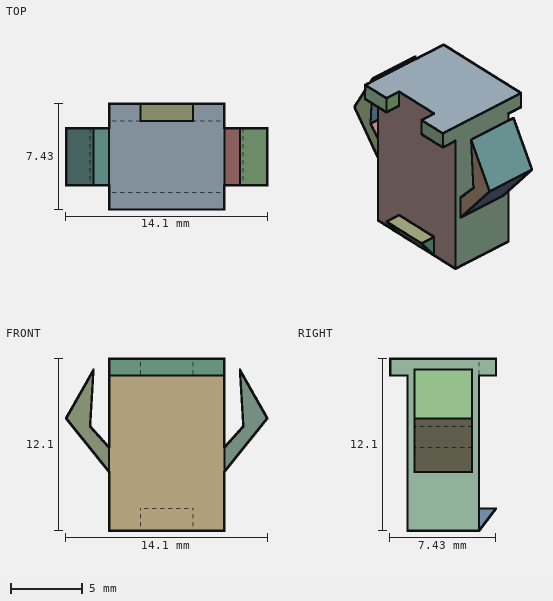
import cadquery as cq

overall_width = 14.13
body_width = 8.1
body_depth = 5.03
body_height = 12.1

ledge_projection = 1.2
ledge_height = 1.2
rear_gap_width = 3.66

wedge_height = 1.58

arm_depth = 4.03
arm_root_bottom = 4.14
arm_root_top = 5.86
arm_elbow_height = 7.9
arm_notch_x = 5.37
arm_notch_height = 7.33
arm_tip_x = 5.13
arm_tip_height = 11.32

half_width = body_width / 2
half_depth = body_depth / 2
ledge_bottom = body_height - ledge_height
tab_width = (body_width - rear_gap_width) / 2


def corner_box(width, depth, height, x, y, z):
    """Box whose lowest corner is at (x, y, z)."""
    return cq.Workplane("XY").box(width, depth, height, centered=False).translate((x, y, z))


def spring_arm():
    """Barbed arm on the +X side, rooted in the side wall."""
    profile = [
        (0, arm_root_bottom),
        (half_width, arm_root_bottom),
        (overall_width / 2, arm_elbow_height),
        (arm_tip_x, arm_tip_height),
        (arm_notch_x, arm_notch_height),
        (half_width, arm_root_top),
        (0, arm_root_top),
    ]
    return cq.Workplane("XZ").polyline(profile).close().extrude(arm_depth / 2, both=True)


def latch_wedge():
    """Flat-topped ramp on the rear wall, running out at the base."""
    profile = [
        (0, 0),
        (half_depth, 0),
        (half_depth + ledge_projection, wedge_height),
        (0, wedge_height),
    ]
    return cq.Workplane("YZ").polyline(profile).close().extrude(rear_gap_width / 2, both=True)


result = corner_box(body_width, body_depth, body_height, -half_width, -half_depth, 0)
result = result.union(
    corner_box(
        body_width, ledge_projection, ledge_height,
        -half_width, -half_depth - ledge_projection, ledge_bottom,
    )
)

for tab_left in (-half_width, rear_gap_width / 2):
    result = result.union(
        corner_box(tab_width, ledge_projection, ledge_height, tab_left, half_depth, ledge_bottom)
    )

arm = spring_arm()
result = result.union(latch_wedge()).union(arm).union(arm.mirror("YZ"))